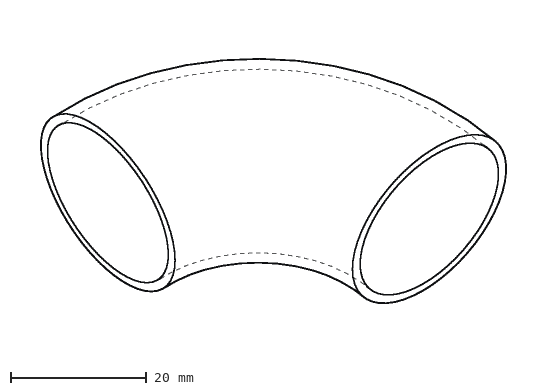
import cadquery as cq

overall_length = 48.5
outer_diameter = 30.0
wall_thickness = 1.5
bend_angle = 90.0

outer_radius = outer_diameter / 2
inner_radius = outer_radius - wall_thickness
bend_radius = overall_length - outer_radius


def pipe_elbow():
    """Sweep the ring-shaped pipe section about the Z axis.

    The section starts on the -X side, with its open end facing -Y,
    and turns clockwise to the +Y side, where its open end faces +X.
    """
    section = (
        cq.Workplane("XZ")
        .center(-bend_radius, 0)
        .circle(outer_radius)
        .circle(inner_radius)
    )
    return section.revolve(bend_angle, (bend_radius, 0), (bend_radius, -1))


result = pipe_elbow()